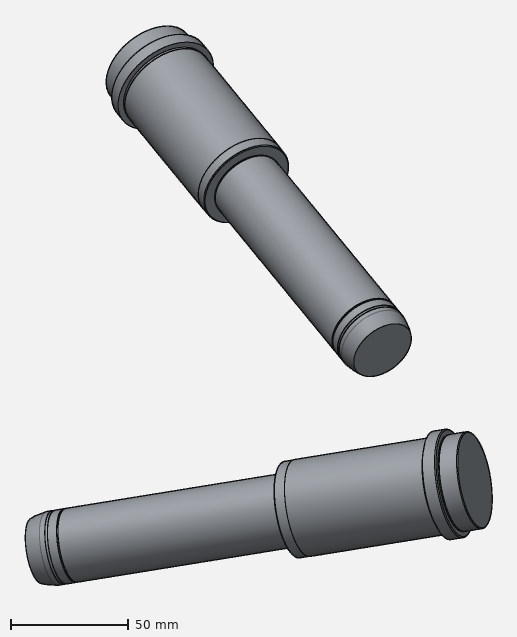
import cadquery as cq

total_length = 200.0
sleeve_dia = 42.0
collar_dia = 47.0
shaft_dia = 32.0
tip_dia = 28.5

collar_start = 9.0
collar_length = 6.0
sleeve_length = 84.0
end_band_length = 5.0
tip_length = 7.2

end_face_chamfer = 0.5
collar_chamfer = 0.5
sleeve_chamfer = 0.5
end_band_step = 0.1
tip_bulge = 0.3

groove_depth = 0.2
narrow_groove_width = 0.5
wide_groove_width = 1.2
narrow_groove_start = 184.5
wide_groove_start = 189.2

collar_end = collar_start + collar_length
end_band_start = sleeve_length - end_band_length
end_band_dia = sleeve_dia - 2 * end_band_step
tip_start = total_length - tip_length


def disc(start, length, diameter):
    """Solid cylinder on the X axis."""
    return cq.Workplane("YZ").workplane(offset=start).circle(diameter / 2).extrude(length)


def groove(start, width, diameter):
    """Ring-shaped cutter for a shallow groove in a cylinder of the given diameter."""
    outer = disc(start, width, diameter + 2 * groove_depth)
    return outer.cut(disc(start, width, diameter - 2 * groove_depth))


def make_sleeve():
    """Thick end with a groove on each side of the collar's place and a thinner end band."""
    sleeve = disc(0, end_band_start, sleeve_dia).faces("<X").chamfer(end_face_chamfer)
    sleeve = sleeve.cut(groove(collar_start - narrow_groove_width, narrow_groove_width, sleeve_dia))
    sleeve = sleeve.cut(groove(collar_end, wide_groove_width, sleeve_dia))
    end_band = disc(end_band_start, end_band_length, end_band_dia).faces(">X").chamfer(sleeve_chamfer)
    return sleeve.union(end_band)


def make_collar():
    """Raised collar, chamfered on the side of the flat end."""
    return disc(collar_start, collar_length, collar_dia).faces("<X").chamfer(collar_chamfer)


def make_shaft():
    """Slim shaft with a relief at the sleeve shoulder and two grooves near the tip."""
    shaft = disc(sleeve_length, tip_start - sleeve_length, shaft_dia)
    shaft = shaft.cut(groove(sleeve_length, narrow_groove_width, shaft_dia))
    shaft = shaft.cut(groove(narrow_groove_start, narrow_groove_width, shaft_dia))
    return shaft.cut(groove(wide_groove_start, wide_groove_width, shaft_dia))


def make_tip():
    """Rounded lead-in that narrows from the shaft to the end face."""
    shaft_radius = shaft_dia / 2
    tip_radius = tip_dia / 2
    arc_middle = ((tip_start + total_length) / 2, (shaft_radius + tip_radius) / 2 + tip_bulge)
    return (
        cq.Workplane("XY")
        .moveTo(tip_start, 0)
        .lineTo(tip_start, shaft_radius)
        .threePointArc(arc_middle, (total_length, tip_radius))
        .lineTo(total_length, 0)
        .close()
        .revolve(360, (0, 0, 0), (1, 0, 0))
    )


result = make_sleeve().union(make_collar()).union(make_shaft()).union(make_tip())